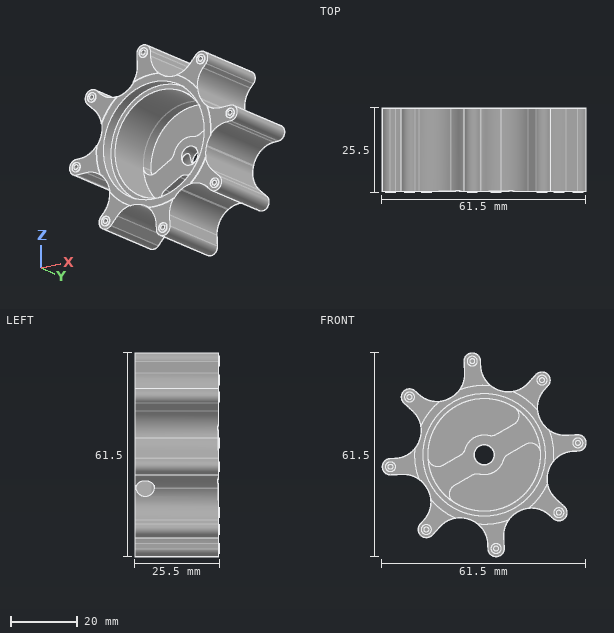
import cadquery as cq
import math


RIM_DEPTH = 25.0
ARM_DEPTH = 25.25
BOSS_DEPTH = 25.5
WEB_THICKNESS = 2.0
RIB_THICKNESS = 6.0
SEAT_DEPTH = 4.0

RIM_RADIUS = 21.0
SEAT_RADIUS = 18.5
CAVITY_RADIUS = 17.0
SHAFT_RADIUS = 3.0

ARM_COUNT = 8
ARM_PITCH = 360 / ARM_COUNT
ARM_DIRECTION = 2.5
TIP_ANGLE = 7.25
TIP_CENTER_RADIUS = 28.5
TIP_RADIUS = 2.5
ROOT_RADIUS = 20.0
ARM_FILLET = 8.0

BOSS_RADIUS = 1.5
PIN_HOLE_RADIUS = 0.75
PIN_HOLE_DEPTH = 5.0

RIB_ANGLE = 30.0
RIB_HALF_WIDTH = 3.5
RIB_HUB_RADIUS = 6.0
RIB_FILLET = 3.0
SCREW_HOLE_RADIUS = 2.75
SCREW_HOLE_OFFSET = 3.1


def polar(radius, angle):
    """Point at a radius and an angle in degrees."""
    return (radius * math.cos(math.radians(angle)), radius * math.sin(math.radians(angle)))


def toward(start, end, distance):
    """Point at a distance from start on the ray from start through end."""
    share = distance / math.dist(start, end)
    return (start[0] + share * (end[0] - start[0]), start[1] + share * (end[1] - start[1]))


def mirrored(point):
    return (-point[0], point[1])


def midpoint(first, second):
    return ((first[0] + second[0]) / 2, (first[1] + second[1]) / 2)


def slab(near_depth, far_depth):
    """Workplane facing forward at near_depth, and the height up to far_depth."""
    return cq.Workplane("XZ", origin=(0, -near_depth, 0)), far_depth - near_depth


def cylinder(radius, near_depth, far_depth, center=(0, 0)):
    plane, height = slab(near_depth, far_depth)
    return plane.center(*center).circle(radius).extrude(height)


def arm_points(turn):
    """Outline points of one arm, from its clockwise root to its counterclockwise root."""
    direction = ARM_DIRECTION + turn
    lean = math.radians(TIP_ANGLE - ARM_DIRECTION)
    tip_along = TIP_CENTER_RADIUS * math.cos(lean)
    tip_across = TIP_CENTER_RADIUS * math.sin(lean)
    fillet_center_radius = ROOT_RADIUS + ARM_FILLET
    fillet_bend = ARM_FILLET * math.cos(math.radians(45))

    def place(along, across):
        """Turn a point given along and across the arm direction into a point of the wheel."""
        return polar(math.hypot(along, across), direction + math.degrees(math.atan2(across, along)))

    def side_points(side):
        """Root end, fillet middle, flank start and flank end on one side of the arm."""
        flank_across = tip_across + side * TIP_RADIUS
        center_across = flank_across + side * ARM_FILLET
        center_along = math.sqrt(fillet_center_radius ** 2 - center_across ** 2)
        center = place(center_along, center_across)
        root_end = toward((0, 0), center, ROOT_RADIUS)
        fillet_middle = place(center_along - fillet_bend, center_across - side * fillet_bend)
        flank_start = place(center_along, flank_across)
        flank_end = place(tip_along, flank_across)
        return [root_end, fillet_middle, flank_start, flank_end]

    crown = place(tip_along + TIP_RADIUS, tip_across)
    return side_points(-1) + [crown] + side_points(1)[::-1]


def star_outline(plane):
    """Closed outline of the arms, joined by short arcs of the root circle."""
    arms = [arm_points(index * ARM_PITCH) for index in range(ARM_COUNT)]
    outline = plane.moveTo(*arms[0][0])
    for index, arm in enumerate(arms):
        _, fillet_in, flank_in, tip_in, crown, tip_out, flank_out, fillet_out, root_end = arm
        next_root = arms[(index + 1) % ARM_COUNT][0]
        gap_middle = toward((0, 0), midpoint(root_end, next_root), ROOT_RADIUS)
        outline = (
            outline.threePointArc(fillet_in, flank_in)
            .lineTo(*tip_in)
            .threePointArc(crown, tip_out)
            .lineTo(*flank_out)
            .threePointArc(fillet_out, root_end)
            .threePointArc(gap_middle, next_root)
        )
    return outline.close()


def make_star():
    plane, height = slab(0, ARM_DEPTH)
    return star_outline(plane).extrude(height)


def add_tip_bosses(body):
    for index in range(ARM_COUNT):
        tip = polar(TIP_CENTER_RADIUS, TIP_ANGLE + index * ARM_PITCH)
        body = body.union(cylinder(BOSS_RADIUS, 0, BOSS_DEPTH, tip))
        body = body.cut(cylinder(PIN_HOLE_RADIUS, BOSS_DEPTH - PIN_HOLE_DEPTH, BOSS_DEPTH, tip))
    return body


def make_web_pocket():
    """Recess beside the rib, bounded by the cavity wall and the filleted edge of the rib."""
    center_height = RIB_HALF_WIDTH + RIB_FILLET
    inner_along = math.sqrt((RIB_HUB_RADIUS + RIB_FILLET) ** 2 - center_height ** 2)
    outer_along = math.sqrt((CAVITY_RADIUS - RIB_FILLET) ** 2 - center_height ** 2)
    inner_center = (inner_along, center_height)
    outer_center = (outer_along, center_height)
    inner_edge = (inner_along, RIB_HALF_WIDTH)
    outer_edge = (outer_along, RIB_HALF_WIDTH)
    hub_end = toward((0, 0), inner_center, RIB_HUB_RADIUS)
    wall_end = toward((0, 0), outer_center, CAVITY_RADIUS)
    inner_middle = toward(inner_center, midpoint(hub_end, inner_edge), RIB_FILLET)
    outer_middle = toward(outer_center, midpoint(wall_end, outer_edge), RIB_FILLET)

    plane, height = slab(WEB_THICKNESS, RIB_THICKNESS)
    outline = (
        plane.moveTo(*wall_end)
        .threePointArc(outer_middle, outer_edge)
        .lineTo(*inner_edge)
        .threePointArc(inner_middle, hub_end)
        .threePointArc((0, RIB_HUB_RADIUS), mirrored(hub_end))
        .threePointArc(mirrored(inner_middle), mirrored(inner_edge))
        .lineTo(*mirrored(outer_edge))
        .threePointArc(mirrored(outer_middle), mirrored(wall_end))
        .threePointArc((0, CAVITY_RADIUS), wall_end)
        .close()
    )
    return outline.extrude(height)


def make_cavity():
    """Hollow of the wheel: the open bore with one web pocket on each side of the rib."""
    cavity = cylinder(CAVITY_RADIUS, RIB_THICKNESS, RIM_DEPTH)
    pocket = make_web_pocket()
    for turn in (0, 180):
        cavity = cavity.union(pocket.rotate((0, 0, 0), (0, -1, 0), RIB_ANGLE + turn))
    return cavity


def cut_screw_hole(body):
    """Radial hole from the lower left scallop to the shaft bore."""
    x, z = polar(1, RIB_ANGLE + 180)
    plane = cq.Plane(origin=(0, -SCREW_HOLE_OFFSET, 0), xDir=(0, 1, 0), normal=(x, 0, z))
    return body.cut(cq.Workplane(plane).circle(SCREW_HOLE_RADIUS).extrude(RIM_RADIUS))


def build():
    body = make_star()
    body = body.cut(cylinder(RIM_RADIUS, RIM_DEPTH, ARM_DEPTH))
    body = body.cut(cylinder(SEAT_RADIUS, RIM_DEPTH - SEAT_DEPTH, RIM_DEPTH))
    body = body.cut(make_cavity())
    body = body.cut(cylinder(SHAFT_RADIUS, 0, RIM_DEPTH))
    body = cut_screw_hole(body)
    return add_tip_bosses(body)


result = build()